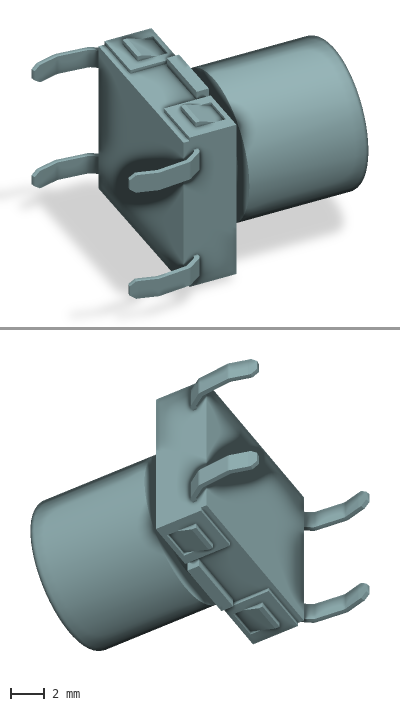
import math

import cadquery as cq

body_width = 11.4
body_depth = 3.5
core_height = 10.2

pad_width = 3.45
pad_depth = 3.1
pad_thickness = 0.25

overall_height = 11.4
latch_size = 2.0
latch_edge_gap = 0.8
latch_start = 0.3
latch_ridge = 1.7
tab_width = 4.0
tab_depth = 0.8

stem_diameter = 6.6
stem_length = 1.3
cap_diameter = 9.6
cap_length = 8.05
cap_edge_radius = 0.45

pin_thickness = 0.3
pin_width = 1.25
pin_pitch = 7.6
pin_depth = 2.7
pin_reach_side = 1.3
pin_reach_back = 4.0
pin_root = 0.5
pin_bend_radius = 0.4
stub_angle = 0.0
spread_angle = 54.4
flare_angle = 84.4
return_angle = 105.0
tip_angle = 101.0
spread_length = 1.16
flare_length = 2.11
return_length = 1.19
taper_length = 0.4
taper_inset = 0.3

core_half = core_height / 2
latch_rise = overall_height / 2 - core_half


def make_core():
    return cq.Workplane("XY").box(body_width, body_depth, core_height).translate((0, -body_depth / 2, 0))


def make_latch():
    """Wedge along Y, ramping up from the core surface, centred on X = 0."""
    ramp = (
        cq.Workplane("YZ")
        .moveTo(-latch_start, 0)
        .lineTo(-latch_start - latch_ridge, latch_rise)
        .lineTo(-latch_start - latch_size, latch_rise)
        .lineTo(-latch_start - latch_size, 0)
        .close()
    )
    return ramp.extrude(latch_size / 2, both=True)


def make_corner_pad():
    """Pad with a window that holds the latch wedge; its outer X edge is at X = 0."""
    pad = cq.Workplane("XY").box(pad_width, pad_depth, pad_thickness, centered=False)
    pad = pad.translate((0, -pad_depth, 0))
    window = cq.Workplane("XY").box(latch_size, latch_size, pad_thickness, centered=False)
    window = window.translate((latch_edge_gap, -latch_start - latch_size, 0))
    latch = make_latch().translate((latch_edge_gap + latch_size / 2, 0, 0))
    return pad.cut(window).union(latch)


def make_side_details():
    """Pads, latches and centre tab of the +Z side."""
    left_pad = make_corner_pad().translate((-body_width / 2, 0, core_half))
    tab = cq.Workplane("XY").box(tab_width, tab_depth, latch_rise)
    tab = tab.translate((0, -tab_depth / 2, core_half + latch_rise / 2))
    return left_pad.union(left_pad.mirror("YZ")).union(tab)


def make_actuator():
    stem = cq.Workplane("XZ").circle(stem_diameter / 2).extrude(-stem_length)
    cap = cq.Workplane("XZ").workplane(offset=-stem_length).circle(cap_diameter / 2).extrude(-cap_length)
    cap = cap.faces(">Y").edges().fillet(cap_edge_radius)
    return stem.union(cap)


def direction(angle):
    """Unit vector turned from +X towards -Y by an angle in degrees."""
    return cq.Vector(math.cos(math.radians(angle)), -math.sin(math.radians(angle)), 0)


def mitre(angle_in, angle_out):
    """Corner shift that moves both legs of a bend outwards by one unit."""
    half_turn = math.radians((angle_out - angle_in) / 2)
    return direction((angle_in + angle_out) / 2 - 90) / math.cos(half_turn)


def pin_centreline():
    """Corner points of the pin from its root inside the body to the start of the tip taper."""
    spread = direction(spread_angle) * spread_length
    flare = direction(flare_angle) * flare_length
    tip = direction(tip_angle)

    outer_shift = (pin_bend_radius - pin_thickness / 2) * mitre(flare_angle, return_angle).x
    return_corner_x = body_width / 2 + pin_reach_side - pin_bend_radius + outer_shift
    spread_corner = cq.Vector(return_corner_x - flare.x - spread.x, -pin_depth, 0)

    root = cq.Vector(body_width / 2 - pin_root, -pin_depth, 0)
    flare_corner = spread_corner + spread
    return_corner = flare_corner + flare
    tip_corner = return_corner + direction(return_angle) * return_length

    tip_end_y = -body_depth - pin_reach_back + pin_thickness / 2 * abs(tip.x)
    tip_length = (tip_end_y - tip_corner.y) / tip.y
    taper_start = tip_corner + tip * (tip_length - taper_length)
    return [root, spread_corner, flare_corner, return_corner, tip_corner, taper_start]


def make_strip(centreline):
    leg_angles = [stub_angle, spread_angle, flare_angle, return_angle, tip_angle]
    angles_in = [stub_angle] + leg_angles
    angles_out = leg_angles + [tip_angle]
    outer_side = []
    inner_side = []
    for point, angle_in, angle_out in zip(centreline, angles_in, angles_out):
        shift = mitre(angle_in, angle_out) * (pin_thickness / 2)
        outer_side.append((point + shift).toTuple()[:2])
        inner_side.append((point - shift).toTuple()[:2])

    outline = cq.Workplane("XY").polyline(outer_side + inner_side[::-1]).close()
    strip = outline.extrude(pin_width / 2, both=True)

    def is_bend(edge):
        end_distances = [(edge.Center() - end).Length for end in (centreline[0], centreline[-1])]
        return min(end_distances) > pin_thickness

    return strip.edges("|Z").filter(is_bend).fillet(pin_bend_radius)


def make_taper(start):
    tip = direction(tip_angle)
    across = tip.cross(cq.Vector(0, 0, 1))
    end_half_width = pin_width / 2 - taper_inset
    return (
        cq.Workplane(cq.Plane(origin=start, xDir=tip, normal=across))
        .moveTo(0, -pin_width / 2)
        .lineTo(taper_length, -end_half_width)
        .lineTo(taper_length, end_half_width)
        .lineTo(0, pin_width / 2)
        .close()
        .extrude(pin_thickness / 2, both=True)
    )


def make_pin():
    """Pin leaving the +X side of the body, centred on Z = 0."""
    centreline = pin_centreline()
    return make_strip(centreline).union(make_taper(centreline[-1]))


side_details = make_side_details()
result = make_core().union(side_details).union(side_details.mirror("XY")).union(make_actuator())

right_pin = make_pin()
for pin in (right_pin, right_pin.mirror("YZ")):
    for side in (-1, 1):
        result = result.union(pin.translate((0, 0, side * pin_pitch / 2)))